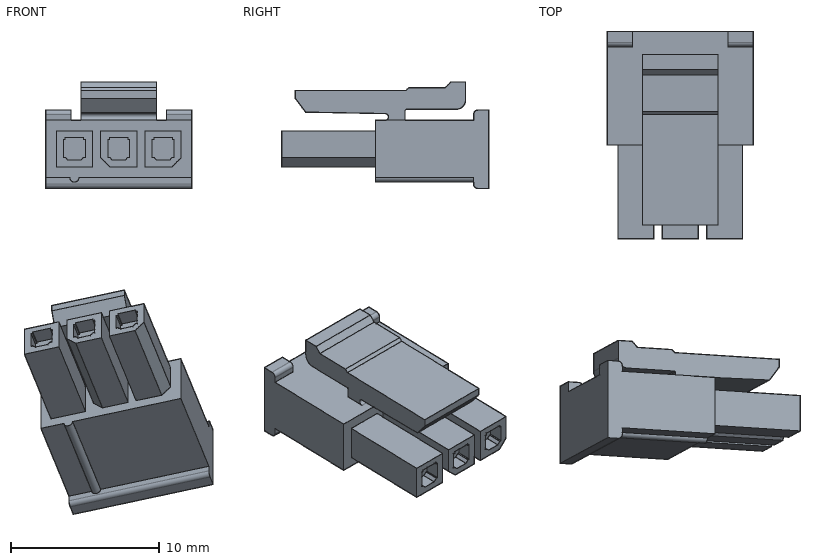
import cadquery as cq
import math

width = 9.85
length = 14.0
body_front = 6.33
body_bottom = 0.74
body_top = 4.62

flange_thickness = 1.04
flange_front = length - flange_thickness
ear_top = 5.3
ear_width = 1.71
flange_round = 0.3

pitch = 3.0
tube_size = 2.44
tube_center_z = 2.67
tube_chamfer = 0.63
tube_embed = 0.14

cavity_width = 1.47
cavity_bottom = 1.92
cavity_top = 3.45
cavity_depth = 1.0
shoulder_width = 0.11
shoulder_height = 0.14
lower_height = 0.2

rib_radius = 0.31

latch_width = 5.11
latch_front = 0.92
latch_rear = 12.43
latch_top = 7.21
grip_slope_rear = 11.44
grip_slope_front = 11.06
pad_top = 6.82
pad_slope_rear = 8.6
pad_slope_front = 8.4
lever_top = 6.62
nose_bottom = 6.09
nose_slope_rear = 1.62
nose_slope_bottom = 5.15
rear_underside = 5.35
rear_round = 0.65
post_rear = 8.35
post_front = 7.21
post_chamfer = 0.07
front_underside = 5.05
hinge_radius = (front_underside - body_top) / 2
hinge_center_y = post_front - hinge_radius


def box(x_min, x_max, y_min, y_max, z_min, z_max):
    size = (x_max - x_min, y_max - y_min, z_max - z_min)
    return cq.Workplane("XY").box(*size, centered=False).translate((x_min, y_min, z_min))


def make_body():
    half = width / 2
    body = box(-half, half, body_front, length, body_bottom, body_top)
    flange = box(-half, half, flange_front, length, 0, ear_top)
    flange = flange.edges("<Y and (<Z or >Z)").fillet(flange_round)
    ear_gap = half - ear_width
    flange = flange.cut(box(-ear_gap, ear_gap, flange_front, length, body_top, ear_top))
    return body.union(flange)


def make_rib():
    return (
        cq.Workplane("XZ", origin=(-pitch, body_front, body_bottom))
        .circle(rib_radius)
        .extrude(-(length - body_front))
    )


def make_tube(center_x, chamfered_edges):
    tube = (
        cq.Workplane("XZ", origin=(center_x, 0, tube_center_z))
        .rect(tube_size, tube_size)
        .extrude(-(body_front + tube_embed))
    )
    if chamfered_edges:
        tube = tube.edges("|Y").edges(chamfered_edges).chamfer(tube_chamfer)
    return tube


def make_cavity(center_x):
    half = cavity_width / 2
    inner = half - shoulder_width
    right_side = [
        (inner - lower_height, cavity_bottom),
        (inner, cavity_bottom + lower_height),
        (half, cavity_bottom + lower_height),
        (half, cavity_top - shoulder_height),
        (inner, cavity_top - shoulder_height),
        (inner, cavity_top),
    ]
    left_side = [(-x, z) for x, z in reversed(right_side)]
    return (
        cq.Workplane("XZ", origin=(center_x, 0, 0))
        .polyline(right_side + left_side)
        .close()
        .extrude(-cavity_depth)
    )


def make_latch():
    diagonal = math.sqrt(0.5)
    rear_center = (latch_rear - rear_round, rear_underside + rear_round)
    rear_mid = (rear_center[0] + rear_round * diagonal, rear_center[1] - rear_round * diagonal)
    return (
        cq.Workplane("YZ", origin=(-latch_width / 2, 0, 0))
        .moveTo(latch_front, lever_top)
        .lineTo(pad_slope_front, lever_top)
        .lineTo(pad_slope_rear, pad_top)
        .lineTo(grip_slope_front, pad_top)
        .lineTo(grip_slope_rear, latch_top)
        .lineTo(latch_rear, latch_top)
        .lineTo(latch_rear, rear_center[1])
        .threePointArc(rear_mid, (rear_center[0], rear_underside))
        .lineTo(post_rear + post_chamfer, rear_underside)
        .lineTo(post_rear, rear_underside - post_chamfer)
        .lineTo(post_rear, body_top)
        .lineTo(hinge_center_y, body_top)
        .threePointArc((post_front, body_top + hinge_radius), (hinge_center_y, front_underside))
        .lineTo(nose_slope_rear, nose_slope_bottom)
        .lineTo(latch_front, nose_bottom)
        .close()
        .extrude(latch_width)
    )


result = make_body().union(make_rib()).union(make_latch())
tubes = [(-pitch, None), (0, "<X and <Z"), (pitch, ">X and <Z")]
for tube_x, chamfered_edges in tubes:
    result = result.union(make_tube(tube_x, chamfered_edges))
for tube_x, _ in tubes:
    result = result.cut(make_cavity(tube_x))